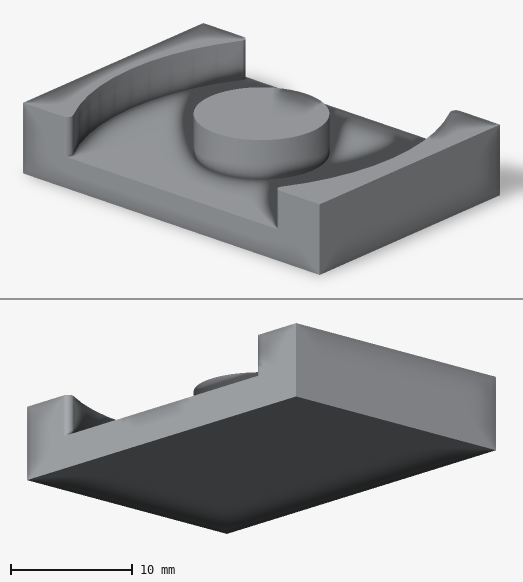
import cadquery as cq

length = 32.4
width = 22.4
height = 6.3
floor_thickness = 2.8

boss_diameter = 11.15

gap_at_middle = 28.5
gap_at_ends = 21.85
tip_radius = 0.5

wall_height = height - floor_thickness


def make_recess():
    """Barrel-shaped space between the two end walls, open at both sides."""
    half_end = gap_at_ends / 2
    half_middle = gap_at_middle / 2
    half_width = width / 2
    return (
        cq.Workplane("XY")
        .workplane(offset=floor_thickness)
        .moveTo(-half_end, -half_width)
        .lineTo(half_end, -half_width)
        .threePointArc((half_middle, 0), (half_end, half_width))
        .lineTo(-half_end, half_width)
        .threePointArc((-half_middle, 0), (-half_end, -half_width))
        .close()
        .extrude(wall_height)
    )


def make_boss():
    return (
        cq.Workplane("XY")
        .workplane(offset=floor_thickness)
        .circle(boss_diameter / 2)
        .extrude(wall_height)
    )


block = cq.Workplane("XY").box(length, width, height, centered=(True, True, False))
walled_base = block.cut(make_recess())

tip_box = cq.selectors.BoxSelector(
    (-gap_at_middle / 2, -width, floor_thickness),
    (gap_at_middle / 2, width, height),
)
walled_base = walled_base.edges("|Z").edges(tip_box).fillet(tip_radius)

result = walled_base.union(make_boss())